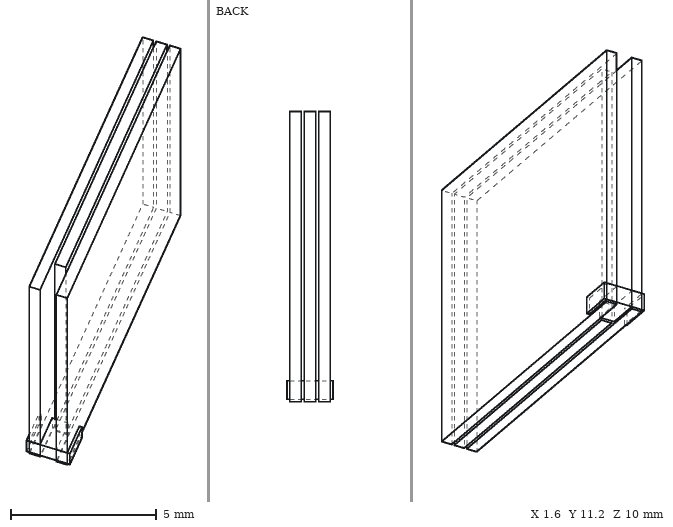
import cadquery as cq

plate_thickness = 0.4
plate_pitch = 0.5
plate_height = 10.0
stack_length = 11.2
end_margin = 1.2
stack_front = -stack_length / 2
stack_back = stack_length / 2

clip_width = 1.6
clip_length = end_margin
clip_height = 0.65
clip_bottom = 0.08
clip_front_wall = 0.01
clip_front = stack_front - clip_front_wall


def block(x_center, width, y_front, y_back, z_bottom, height):
    """Upright box, centred on x_center and running from y_front to y_back."""
    return (
        cq.Workplane("XY")
        .box(width, y_back - y_front, height, centered=(True, False, False))
        .translate((x_center, y_front, z_bottom))
    )


def make_outer_plate(x_center):
    """Full-length plate on one side of the stack."""
    return block(x_center, plate_thickness, stack_front, stack_back, 0, plate_height)


def make_middle_plate():
    """Plate set back at the front, where it stops against the clip."""
    return block(0, plate_thickness, stack_front + end_margin, stack_back, 0, plate_height)


def make_clip(plates):
    """Bar across the front of the stack, with slots where the outer plates pass through."""
    clip = block(0, clip_width, clip_front, clip_front + clip_length, clip_bottom, clip_height)
    for plate in plates:
        clip = clip.cut(plate)
    return clip


outer_plates = [make_outer_plate(side * plate_pitch) for side in (-1, 1)]
middle_plate = make_middle_plate()
clip = make_clip(outer_plates)

result = cq.Compound.makeCompound(
    [*[plate.val() for plate in outer_plates], middle_plate.val(), *clip.vals()]
)